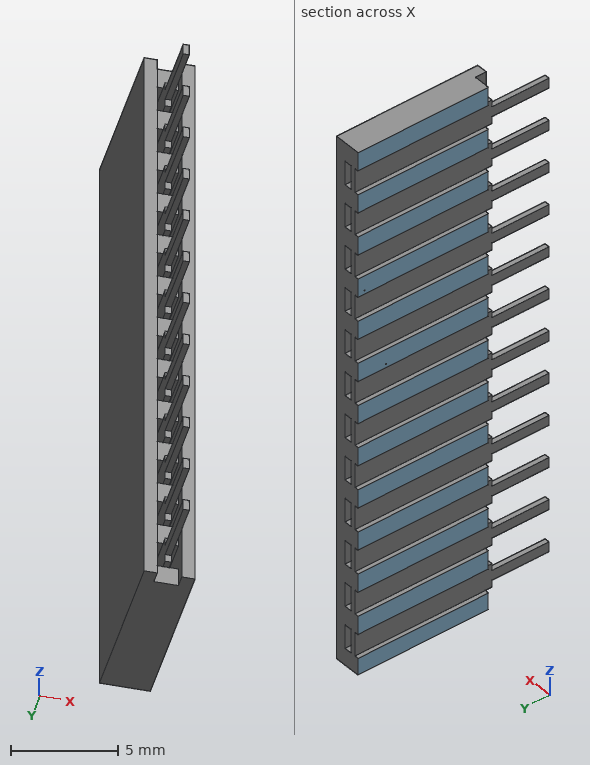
import cadquery as cq

housing_width = 2.45
housing_depth = 8.45
housing_height = 31.0

channel_width = 1.18
channel_depth = 0.65

contact_count = 12
end_margin = 0.5
pitch = (housing_height - 2 * end_margin) / contact_count
stack_drop = 0.05
cavity_height = 1.4

contact_thickness = 0.295
blade_protrusion = 0.4
pin_height = 0.6
total_depth = 11.62

housing_back = housing_depth / 2
housing_front = -housing_back
channel_floor = housing_front + channel_depth
blade_front = channel_floor - blade_protrusion
pin_tip = housing_back - total_depth

contact_heights = [(i - (contact_count - 1) / 2) * pitch - stack_drop for i in range(contact_count)]


def block(width, y_start, y_end, height, z_center=0):
    """Box centred on X, running from y_start to y_end."""
    return (
        cq.Workplane("XY")
        .box(width, y_end - y_start, height)
        .translate((0, (y_start + y_end) / 2, z_center))
    )


def cavity(z_center):
    """Opening that runs from the channel floor out through the back."""
    return block(channel_width, channel_floor, housing_back, cavity_height, z_center)


def contact(z_center):
    """Blade that splits its cavity in two, with a pin on its front edge."""
    blade = block(contact_thickness, blade_front, housing_back, cavity_height, z_center)
    pin = block(contact_thickness, pin_tip, blade_front, pin_height, z_center)
    return blade.union(pin)


result = block(housing_width, housing_front, housing_back, housing_height)
result = result.cut(block(channel_width, housing_front, channel_floor, housing_height))
for z_center in contact_heights:
    result = result.cut(cavity(z_center))

for z_center in contact_heights:
    result = result.union(contact(z_center))